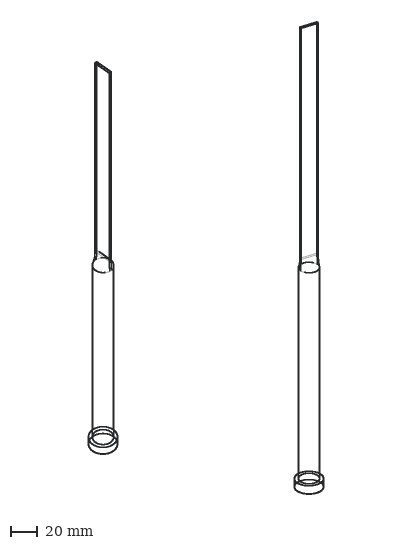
import cadquery as cq
import math

total_length = 400.0
blade_length = 200.0
head_height = 7.0
tip_height = 10.0

head_diameter = 22.0
shaft_diameter = 16.0
blade_width = 15.0
blade_thickness = 2.0

blade_base = total_length - blade_length
shaft_top = blade_base - tip_height
shaft_radius = shaft_diameter / 2


def make_head_and_shaft():
    head = cq.Workplane("XY").circle(head_diameter / 2).extrude(head_height)
    shaft = cq.Workplane("XY").circle(shaft_radius).extrude(shaft_top)
    return head.union(shaft)


def make_taper():
    """Ruled transition from the shaft circle to the blade rectangle."""
    half_width = blade_width / 2
    corner_angle = math.atan2(blade_thickness / 2, half_width)
    corner_x = shaft_radius * math.cos(corner_angle)
    corner_y = shaft_radius * math.sin(corner_angle)
    return (
        cq.Workplane("XY", origin=(0, 0, shaft_top))
        .moveTo(corner_x, -corner_y)
        .threePointArc((shaft_radius, 0), (corner_x, corner_y))
        .threePointArc((0, shaft_radius), (-corner_x, corner_y))
        .threePointArc((-shaft_radius, 0), (-corner_x, -corner_y))
        .threePointArc((0, -shaft_radius), (corner_x, -corner_y))
        .close()
        .workplane(offset=tip_height)
        .moveTo(half_width, -blade_thickness / 2)
        .lineTo(half_width, blade_thickness / 2)
        .lineTo(-half_width, blade_thickness / 2)
        .lineTo(-half_width, -blade_thickness / 2)
        .close()
        .loft(ruled=True)
    )


def make_blade():
    return (
        cq.Workplane("XY", origin=(0, 0, shaft_top))
        .rect(blade_width, blade_thickness)
        .extrude(total_length - shaft_top)
    )


result = make_head_and_shaft().union(make_taper()).union(make_blade())